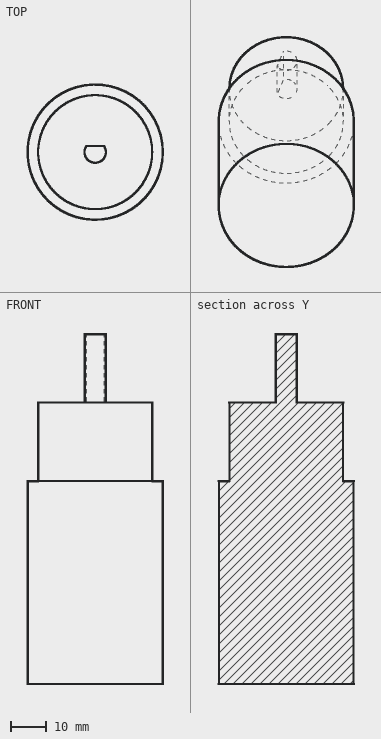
import cadquery as cq

total_length = 98.3
body_length = 57.0
collar_length = 22.1
shaft_length = total_length - body_length - collar_length

body_diameter = 38.0
collar_diameter = 32.0
shaft_diameter = 6.0

flat_offset = 1.8


def make_d_shaft():
    """Round shaft with a flat along its whole length, standing on Z = 0."""
    shaft_radius = shaft_diameter / 2
    shaft = cq.Workplane("XY").circle(shaft_radius).extrude(shaft_length)
    beyond_flat = (
        cq.Workplane("XY")
        .center(0, flat_offset + shaft_radius)
        .rect(shaft_diameter, shaft_diameter)
        .extrude(shaft_length)
    )
    return shaft.cut(beyond_flat)


housing = (
    cq.Workplane("XY")
    .circle(body_diameter / 2)
    .extrude(body_length)
    .faces(">Z")
    .workplane()
    .circle(collar_diameter / 2)
    .extrude(collar_length)
)

result = housing.union(make_d_shaft().translate((0, 0, body_length + collar_length)))